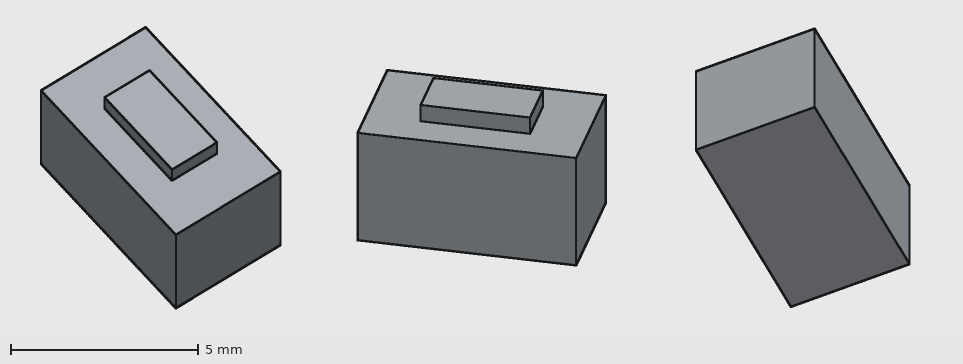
import cadquery as cq

body_length = 6.0
body_width = 3.5
body_height = 3.3

button_length = body_length / 2
button_width = button_length / 2
button_height = 0.5

body = cq.Workplane("XY").box(body_length, body_width, body_height, centered=(True, True, False))

result = (
    body.faces(">Z")
    .workplane()
    .rect(button_length, button_width)
    .extrude(button_height)
)